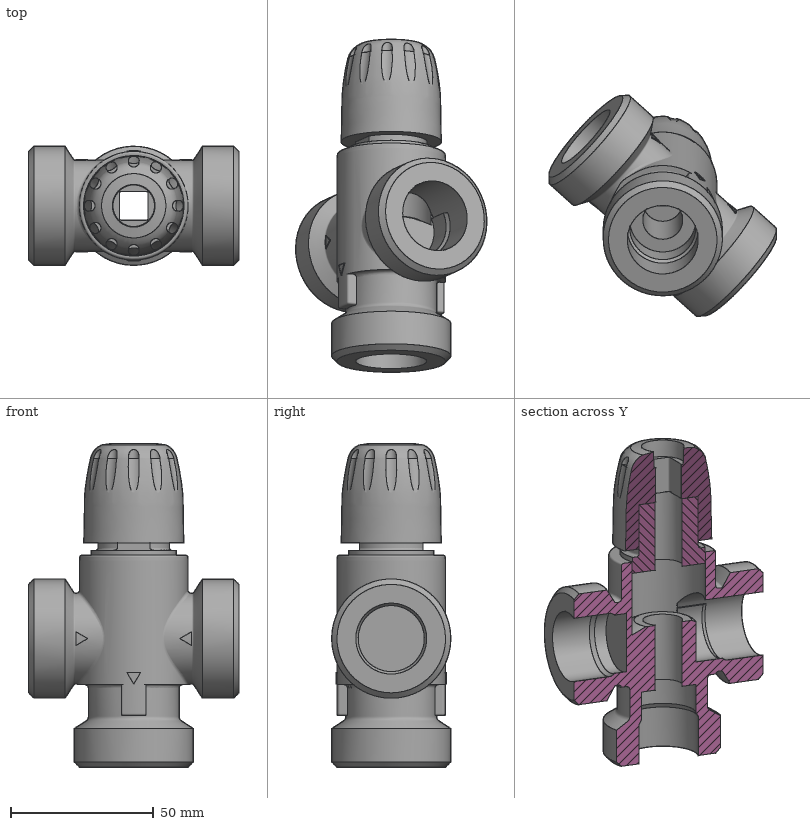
import cadquery as cq
import math


MARGIN = 0.1

HOT_SIDE, COLD_SIDE = 1, -1

PORT_REACH = 37.0
OUTLET_REACH = 45.2
COLLAR_RADIUS = 20.955
COLLAR_CHAMFER = 1.9
PORT_COLLAR_LENGTH = 12.9
OUTLET_COLLAR_LENGTH = 13.6
BACK_CONE_LENGTH = 3.2
TUBE_RADIUS = 16.0
PORT_ROOT_BLEND = 0.4
OUTLET_ROOT_BLEND = 0.95
BORE_RADIUS = 12.45
BORE_DEPTH = 14.4
INNER_BORE_RADIUS = 11.6
BORE_TAPER_LENGTH = 1.6

BODY_RADIUS = 19.1
BODY_BOTTOM = -16.2
BODY_TOP = 29.3
BODY_RIM_FILLET = 0.8
BODY_TAPER_START = 27.3
BODY_TAPER = 0.1
STEP_FILLET = 1.2
PORT_BLEND_RADIUS = 1.0
RIB_WIDTH = 8.7
RIB_BOTTOM = -27.1
RIB_FILLET = 0.8
RIB_BOTTOM_FILLET = 0.7
ARROW_WIDTH = 4.7
MIX_ARROW_BASE = (0, -12.0)
PORT_ARROW_BASE = 20.2
ARROW_LENGTH = 4.0
ARROW_RAISE = 0.3

CHAMBER_RADIUS = 15.0
SEAT_RADIUS = 10.1
SEAT_TOP = 4.9
SEAT_SLOPE = 0.47
COLD_BORE_END = 10.8
HOT_BORE_END = 16.5
OUTLET_BORE_END = 19.0
PASSAGE_RADIUS = 7.0

CARTRIDGE_BOTTOM = 25.0
CARTRIDGE_TOP = 31.0
NECK_RADIUS = 12.6
NECK_ACROSS_FLATS = 22.4
NECK_TOP = 50.0
NECK_FILLET = 0.8

KNOB_BOTTOM = 33.6
KNOB_TOP = 68.6
KNOB_RADIUS = 17.4
KNOB_LIP_RADIUS = 17.65
SKIRT_TOP = 46.3
SHOULDER_RADIUS, SHOULDER_Z = 15.3, 63.3
SIDE_ARC_POINT = (16.85, 54.9)
CROWN_RADIUS, CROWN_Z = 11.3, 68.05
CROWN_ARC_POINT = (13.6, 66.4)
RECESS_RADIUS = 7.5
RECESS_FLOOR_RADIUS = 7.3
RECESS_DEPTH = 6.0
SQUARE_SIZE = 10.0
SQUARE_CORNER_RADIUS = 0.6
FLUTE_COUNT = 12
SCOOP_RADIUS = 1.95
SCOOP_CENTRE = 15.55
GROOVE_RADIUS = 4.5
GROOVE_CENTRE = 19.4
GROOVE_TILT = math.radians(11.2)


def cylinder(radius, bottom, top):
    return cq.Workplane("XY", origin=(0, 0, bottom)).circle(radius).extrude(top - bottom)


def along_port(shape, side):
    """Turn a shape built along +Z to lie along X, on the side +1 or -1."""
    return shape.rotate((0, 0, 0), (0, 1, 0), 90 * side)


def connection(reach, collar_length, blend):
    """Solid tube from the origin along +Z with a threaded collar at its end."""
    collar_back = reach - collar_length
    cone_root = collar_back - BACK_CONE_LENGTH
    cone_angle = math.atan2(COLLAR_RADIUS - TUBE_RADIUS, BACK_CONE_LENGTH)
    blend_end = (TUBE_RADIUS + blend * math.sin(cone_angle), cone_root + blend * math.cos(cone_angle))
    return (
        cq.Workplane("XZ")
        .lineTo(TUBE_RADIUS, 0)
        .lineTo(TUBE_RADIUS, cone_root - blend)
        .tangentArcPoint(blend_end, relative=False)
        .lineTo(COLLAR_RADIUS, collar_back)
        .lineTo(COLLAR_RADIUS, reach - COLLAR_CHAMFER)
        .lineTo(COLLAR_RADIUS - COLLAR_CHAMFER, reach)
        .lineTo(0, reach)
        .close()
        .revolve(360, (0, 0, 0), (0, 1, 0))
    )


def connection_bore(reach, end):
    """Cutter along Z for a blind bore that tapers to a slightly narrower inner bore."""
    taper_start = reach - BORE_DEPTH
    return (
        cq.Workplane("XZ")
        .moveTo(0, reach)
        .lineTo(BORE_RADIUS, reach)
        .lineTo(BORE_RADIUS, taper_start)
        .lineTo(INNER_BORE_RADIUS, taper_start - BORE_TAPER_LENGTH)
        .lineTo(INNER_BORE_RADIUS, end)
        .lineTo(0, end)
        .close()
        .revolve(360, (0, 0, 0), (0, 1, 0))
    )


def chamber_inlet():
    """Cutter that carries the full port bore on into the chamber, above the seat only."""
    full_bore = along_port(cylinder(BORE_RADIUS, COLD_BORE_END, PORT_REACH), COLD_SIDE)
    above_seat = cq.Workplane("XY", origin=(0, 0, SEAT_TOP)).rect(2 * PORT_REACH, 2 * PORT_REACH)
    return full_bore.intersect(above_seat.extrude(BORE_RADIUS))


def ribs():
    """Bar across the valve axis whose two ends stand out as ribs below the body."""
    bar = (
        cq.Workplane("XY", origin=(0, 0, RIB_BOTTOM))
        .rect(RIB_WIDTH, 2 * COLLAR_RADIUS)
        .extrude(BODY_BOTTOM - RIB_BOTTOM)
        .intersect(cylinder(BODY_RADIUS, RIB_BOTTOM, BODY_BOTTOM))
    )
    return bar.edges("|Z").fillet(RIB_FILLET).faces("<Z").edges().fillet(RIB_BOTTOM_FILLET)


def flow_arrow(base, heading, surface):
    """Raised triangle on the -Y side of a round surface.

    base is the middle of its back edge in X and Z, heading the turn about Y from pointing +X.
    """
    triangle = [(0, ARROW_WIDTH / 2), (0, -ARROW_WIDTH / 2), (ARROW_LENGTH, 0)]
    prism = cq.Workplane("XZ").polyline(triangle).close().extrude(COLLAR_RADIUS)
    prism = prism.rotate((0, 0, 0), (0, 1, 0), heading)
    return prism.translate((base[0], 0, base[1])).intersect(surface)


def chamber():
    """Cutter for the mixing chamber, open at the top, whose floor falls away around a flat seat."""
    floor_edge = SEAT_TOP - SEAT_SLOPE * (CHAMBER_RADIUS - SEAT_RADIUS)
    return (
        cq.Workplane("XZ")
        .moveTo(0, SEAT_TOP)
        .lineTo(SEAT_RADIUS, SEAT_TOP)
        .lineTo(CHAMBER_RADIUS, floor_edge)
        .lineTo(CHAMBER_RADIUS, BODY_TOP)
        .lineTo(0, BODY_TOP)
        .close()
        .revolve(360, (0, 0, 0), (0, 1, 0))
    )


def flow_arrows():
    """On both the -Y and +Y sides, an arrow down to the outlet and one inwards on each port."""
    around_body = cylinder(BODY_RADIUS + ARROW_RAISE, BODY_BOTTOM, BODY_TOP)
    arrows = flow_arrow(MIX_ARROW_BASE, 90, around_body)
    for side in (HOT_SIDE, COLD_SIDE):
        around_port = along_port(cylinder(TUBE_RADIUS + ARROW_RAISE, 0, PORT_REACH), side)
        heading = 90 + 90 * side
        arrows = arrows.union(flow_arrow((side * PORT_ARROW_BASE, 0), heading, around_port))
    return arrows.union(arrows.mirror("XZ"))


def body_rim():
    """Slightly tapered top of the body with a rounded edge."""
    bottom_circle = cq.Workplane("XY", origin=(0, 0, BODY_TAPER_START)).circle(BODY_RADIUS)
    height = BODY_TOP - BODY_TAPER_START
    rim = bottom_circle.workplane(offset=height).circle(BODY_RADIUS - BODY_TAPER).loft(combine=True)
    return rim.faces(">Z").edges().fillet(BODY_RIM_FILLET)


def body_with_ports():
    """Upper body and both ports, blended together, cut off flat at the bottom of the body."""
    overlength_bottom = BODY_BOTTOM - 3 * PORT_BLEND_RADIUS
    body = cylinder(BODY_RADIUS, overlength_bottom, BODY_TAPER_START).union(body_rim())
    for side in (HOT_SIDE, COLD_SIDE):
        port = connection(PORT_REACH, PORT_COLLAR_LENGTH, PORT_ROOT_BLEND)
        body = body.union(along_port(port, side))
    reach = BODY_RADIUS + MARGIN
    height = TUBE_RADIUS + MARGIN
    junctions = cq.selectors.BoxSelector((-reach, -reach, -height), (reach, reach, height), boundingbox=True)
    body = body.edges(junctions).fillet(PORT_BLEND_RADIUS)
    excess = cylinder(BODY_RADIUS + PORT_BLEND_RADIUS, overlength_bottom, BODY_BOTTOM)
    return body.cut(excess)


def housing_outside():
    """Housing before any bore is cut."""
    body = body_with_ports()
    outlet = connection(OUTLET_REACH, OUTLET_COLLAR_LENGTH, OUTLET_ROOT_BLEND)
    body = body.union(outlet.rotate((0, 0, 0), (1, 0, 0), 180))
    reach = TUBE_RADIUS + MARGIN
    step = cq.selectors.BoxSelector(
        (-reach, -reach, BODY_BOTTOM - MARGIN),
        (reach, reach, BODY_BOTTOM + MARGIN),
        boundingbox=True,
    )
    body = body.edges(step).fillet(STEP_FILLET)
    return body.union(ribs()).union(flow_arrows())


def make_housing():
    """Valve housing with two ports, an outlet and the chamber that the cartridge closes."""
    body = housing_outside()
    for side, bore_end in ((HOT_SIDE, HOT_BORE_END), (COLD_SIDE, COLD_BORE_END)):
        body = body.cut(along_port(connection_bore(PORT_REACH, bore_end), side))
    outlet_bore = connection_bore(OUTLET_REACH, OUTLET_BORE_END)
    body = body.cut(outlet_bore.rotate((0, 0, 0), (1, 0, 0), 180))
    body = body.cut(chamber()).cut(chamber_inlet())
    return body.cut(cylinder(PASSAGE_RADIUS, -OUTLET_BORE_END, SEAT_TOP))


def neck(bottom, top):
    """Round neck with two flats facing +Y and -Y."""
    flats = cq.Workplane("XY", origin=(0, 0, bottom)).rect(2 * NECK_RADIUS, NECK_ACROSS_FLATS)
    return cylinder(NECK_RADIUS, bottom, top).intersect(flats.extrude(top - bottom))


def make_cartridge():
    """Plug that closes the chamber, with a hollow neck that carries the knob."""
    flange = cylinder(CHAMBER_RADIUS, CARTRIDGE_BOTTOM, CARTRIDGE_TOP)
    solid = flange.union(neck(CARTRIDGE_TOP, NECK_TOP))
    root = cq.selectors.BoxSelector(
        (-NECK_RADIUS - MARGIN, -NECK_RADIUS, CARTRIDGE_TOP - MARGIN),
        (NECK_RADIUS + MARGIN, NECK_RADIUS, CARTRIDGE_TOP + MARGIN),
        boundingbox=True,
    )
    solid = solid.edges(root).edges("%CIRCLE").fillet(NECK_FILLET)
    return solid.cut(cylinder(PASSAGE_RADIUS, CARTRIDGE_BOTTOM, NECK_TOP))


def flute():
    """Cutter for one grip flute on the +X side: a scoop down to the shoulder, then a shallow groove."""
    height = KNOB_TOP - SKIRT_TOP
    scoop = cylinder(SCOOP_RADIUS, SHOULDER_Z, KNOB_TOP).translate((SCOOP_CENTRE, 0, 0))
    groove_start = cq.Vector(GROOVE_CENTRE, 0, SHOULDER_Z)
    lean = cq.Vector(math.sin(GROOVE_TILT), 0, -math.cos(GROOVE_TILT))
    groove = cq.Solid.makeCylinder(GROOVE_RADIUS, 2 * height, groove_start - lean * height, lean)
    below_shoulder = cylinder(2 * KNOB_RADIUS, SKIRT_TOP, SHOULDER_Z)
    return scoop.union(cq.Workplane(groove).intersect(below_shoulder))


def make_knob():
    """Fluted knob with a recess in its crown, a square hole and a blind fit for the neck."""
    knob = (
        cq.Workplane("XZ")
        .moveTo(0, KNOB_TOP - RECESS_DEPTH)
        .lineTo(RECESS_FLOOR_RADIUS, KNOB_TOP - RECESS_DEPTH)
        .lineTo(RECESS_RADIUS, KNOB_TOP)
        .lineTo(CROWN_RADIUS, CROWN_Z)
        .threePointArc(CROWN_ARC_POINT, (SHOULDER_RADIUS, SHOULDER_Z))
        .threePointArc(SIDE_ARC_POINT, (KNOB_RADIUS, SKIRT_TOP))
        .tangentArcPoint((KNOB_LIP_RADIUS, KNOB_BOTTOM), relative=False)
        .lineTo(0, KNOB_BOTTOM)
        .close()
        .revolve(360, (0, 0, 0), (0, 1, 0))
    )
    cutter = flute()
    for i in range(FLUTE_COUNT):
        knob = knob.cut(cutter.rotate((0, 0, 0), (0, 0, 1), i * 360 / FLUTE_COUNT))
    socket = (
        cq.Workplane("XY", origin=(0, 0, KNOB_BOTTOM))
        .rect(SQUARE_SIZE, SQUARE_SIZE)
        .extrude(KNOB_TOP - KNOB_BOTTOM)
        .edges("|Z")
        .fillet(SQUARE_CORNER_RADIUS)
    )
    return knob.cut(socket).cut(neck(KNOB_BOTTOM, NECK_TOP))


housing = make_housing()
cartridge = make_cartridge()
knob = make_knob()

result = cq.Compound.makeCompound([housing.val(), cartridge.val(), knob.val()])